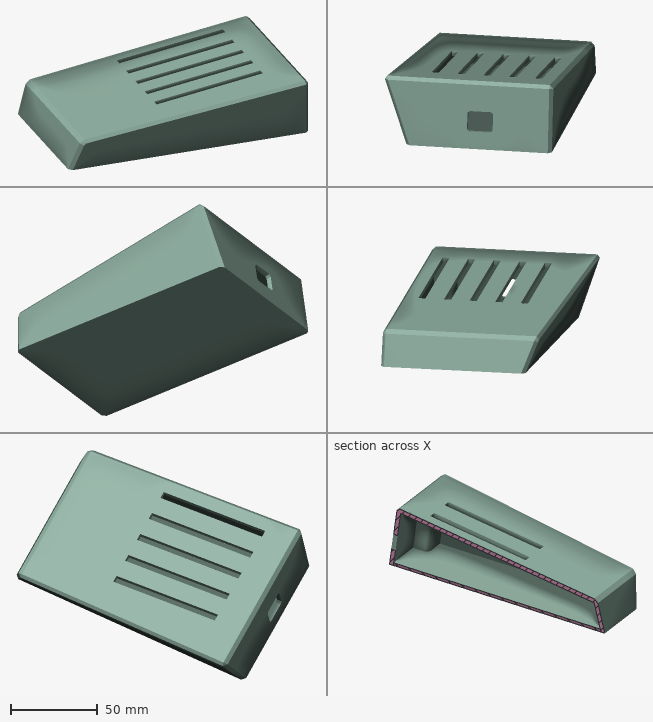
import cadquery as cq
import math

LENGTH = 148.0
BASE_WIDTH = 85.1
REAR_HEIGHT = 39.4
DECK_TILT = 7.8
FRONT_LEAN = 14.4
SIDE_LEAN = 20.0
EDGE_CHAMFER = 2.0
WALL = 3.0

SLOT_COUNT = 5
SLOT_PITCH = 15.1
SLOT_WIDTH = 4.1
SLOT_LENGTH = 66.0
SLOT_REAR_GAP = 19.4
MID_X = 42.0

PORT_WIDTH = 15.0
PORT_HEIGHT = 12.0
PORT_CHAMFER = 1.2
PORT_RISE = 16.1

POST_ROUND = 6.0 / 2
POST_INNER_OFFSET = 27.8
POST_DEPTH = 10.4

PLATE_THICKNESS = 2.0
TAB_WIDTH = 10.4
TAB_OFFSET = 31.5
TAB_BOTTOM = 0.7
TAB_TOP = 3.7

TILT_SIN = math.sin(math.radians(DECK_TILT))
TILT_COS = math.cos(math.radians(DECK_TILT))
TILT_TAN = math.tan(math.radians(DECK_TILT))
FRONT_TAN = math.tan(math.radians(FRONT_LEAN))
FRONT_COS = math.cos(math.radians(FRONT_LEAN))
SIDE_TAN = math.tan(math.radians(SIDE_LEAN))
REAR_TOP_Y = LENGTH - REAR_HEIGHT * TILT_TAN
CUT_DEPTH = 2 * WALL
SLAB_SPAN = 2.5 * LENGTH

DECK_PLANE = cq.Plane((0, REAR_TOP_Y, REAR_HEIGHT), (1, 0, 0), (0, -TILT_SIN, TILT_COS))
REAR_PLANE = cq.Plane((0, LENGTH, 0), (-1, 0, 0), (0, TILT_COS, TILT_SIN))


def wedge_prism(inset, left_x, right_x):
    """A prism of the side profile with its front, deck and rear moved in by `inset`."""
    front_y = inset / FRONT_COS
    rear_y = LENGTH - inset / TILT_COS
    deck_z_at_origin = REAR_HEIGHT - REAR_TOP_Y * TILT_TAN - inset / TILT_COS
    front_top_z = (deck_z_at_origin + front_y * TILT_TAN) / (1 - FRONT_TAN * TILT_TAN)
    rear_top_z = (deck_z_at_origin + rear_y * TILT_TAN) / (1 + TILT_TAN**2)
    profile = [
        (front_y, 0),
        (rear_y, 0),
        (rear_y - rear_top_z * TILT_TAN, rear_top_z),
        (front_y + front_top_z * FRONT_TAN, front_top_z),
    ]
    return cq.Workplane("YZ", origin=(left_x, 0, 0)).polyline(profile).close().extrude(right_x - left_x)


def outer_wedge():
    """The housing's sharp-edged outer form, with its leaning right side."""
    end_profile = [
        (0, 0),
        (BASE_WIDTH, 0),
        (BASE_WIDTH + REAR_HEIGHT * SIDE_TAN, REAR_HEIGHT),
        (0, REAR_HEIGHT),
    ]
    end_prism = cq.Workplane("XZ").polyline(end_profile).close().extrude(-LENGTH)
    return wedge_prism(0, 0, 2 * BASE_WIDTH).intersect(end_prism)


def inner_wedge():
    """The space inside the walls; its right side is upright."""
    return wedge_prism(WALL, WALL, BASE_WIDTH - WALL)


def deck_slots():
    """Cutters for the row of slider slots, square to the deck."""
    slot_y = -SLOT_REAR_GAP - SLOT_LENGTH / 2
    slots = cq.Workplane(DECK_PLANE)
    for i in range(SLOT_COUNT):
        slot_x = MID_X + (i - (SLOT_COUNT - 1) / 2) * SLOT_PITCH
        slots = slots.moveTo(slot_x, slot_y).rect(SLOT_WIDTH, SLOT_LENGTH)
    return slots.extrude(-CUT_DEPTH)


def rear_port():
    """Cutter for the port, square to the rear wall, with bevelled corners."""
    port = cq.Workplane(REAR_PLANE).center(-MID_X, PORT_RISE).rect(PORT_WIDTH, PORT_HEIGHT)
    port = port.extrude(-CUT_DEPTH)
    return port.edges(cq.selectors.ParallelDirSelector(REAR_PLANE.zDir)).chamfer(PORT_CHAMFER)


def rear_posts():
    """Two rounded posts square to the deck, filling the rear corners above the base plate."""
    front_y = -WALL - POST_DEPTH
    posts = cq.Workplane(DECK_PLANE)
    for side in (-1, 1):
        post_x = MID_X + side * (POST_INNER_OFFSET + BASE_WIDTH / 2)
        posts = posts.moveTo(post_x, front_y + LENGTH / 2).rect(BASE_WIDTH, LENGTH)
    posts = posts.extrude(-2 * REAR_HEIGHT)
    posts = posts.edges(cq.selectors.ParallelDirSelector(DECK_PLANE.zDir)).fillet(POST_ROUND)
    return posts.intersect(inner_wedge().cut(plate_panel()))


def plate_panel():
    """The flat part of the base plate, filling the bottom of the space inside the walls."""
    slab = cq.Workplane("XY").rect(SLAB_SPAN, SLAB_SPAN).extrude(PLATE_THICKNESS)
    return inner_wedge().intersect(slab)


def plate_tabs():
    """Two tabs that pass through the rear wall and end flush with its outer face."""
    tabs = cq.Workplane("XY", origin=(0, 0, TAB_BOTTOM))
    for side in (-1, 1):
        tabs = tabs.moveTo(MID_X + side * TAB_OFFSET, LENGTH - WALL).rect(TAB_WIDTH, 2 * WALL)
    tabs = tabs.extrude(TAB_TOP - TAB_BOTTOM)
    return tabs.intersect(outer_wedge()).cut(inner_wedge())


def make_housing():
    body = outer_wedge().edges("not <Z").chamfer(EDGE_CHAMFER)
    shell = body.cut(inner_wedge()).cut(deck_slots()).cut(rear_port()).cut(plate_tabs())
    return shell.union(rear_posts())


def make_base_plate():
    return plate_panel().union(plate_tabs())


housing = make_housing()
base_plate = make_base_plate()

result = cq.Compound.makeCompound([housing.solids().val(), base_plate.solids().val()])